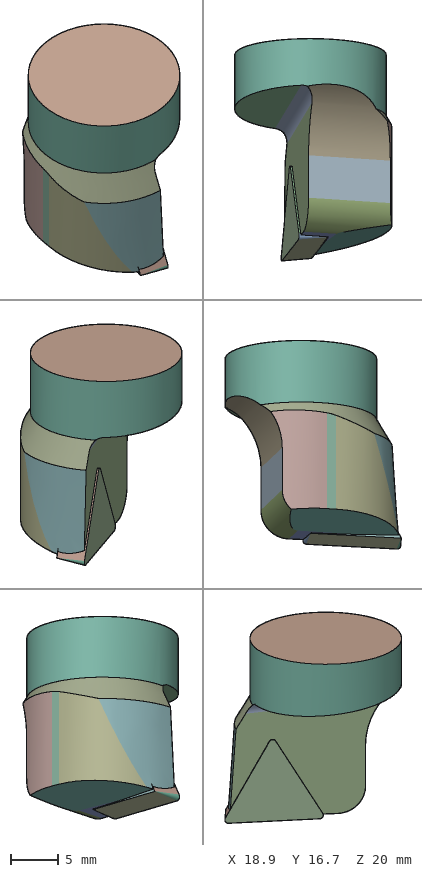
import cadquery as cq
import math

SHANK_RADIUS = 8.0
SHANK_LENGTH = 6.7
FLARE_DEPTH = 9.55
FLARE_ANGLE = 30.0
FLANK_ANGLE = 3.8
HEAD_DEPTH = 19.38

HEAD_SIDE_Y = -8.7
BACK_SIDE_X = 0.6
BACK_SIDE_RADIUS = 10.0
NOSE_SIDE_X = 1.6
NOSE_SIDE_RADIUS = 8.9

BACK_X = -4.0
BACK_TOP_DEPTH = 11.8
BACK_SWEEP_RADIUS = 8.0
HEEL_RADIUS = 3.0

RELIEF_ANGLE = 9.5
RELIEF_EDGE_DEPTH = 18.35

RAKE_ANGLE = 6.3
RAKE_OFFSET = 0.95
LEDGE_DEPTH = 5.7
LEDGE_ANGLE = 5.0
LEDGE_FILLET = 1.4

INSERT_INSCRIBED = 6.35
INSERT_THICKNESS = 3.2
INSERT_RELIEF = 7.0
INSERT_NOSE_RADIUS = 0.4
INSERT_HALF_CORNER = 30.0
INSERT_TURN = -1.0
INSERT_PROUD = 0.2
INSERT_REACH = 10.85
TOTAL_DEPTH = 20.0

CLEAR = 16.0

rake = math.radians(RAKE_ANGLE)
wall_normal = cq.Vector(math.sin(rake), math.cos(rake), 0)
wall_along = cq.Vector(math.cos(rake), -math.sin(rake), 0)


def make_envelope():
    """Shank, flare and tapered flank, turned about the Z axis."""
    flare_radius = SHANK_RADIUS + (FLARE_DEPTH - SHANK_LENGTH) * math.tan(math.radians(FLARE_ANGLE))
    bottom_radius = flare_radius + (HEAD_DEPTH - FLARE_DEPTH) * math.tan(math.radians(FLANK_ANGLE))
    return (
        cq.Workplane("XZ")
        .moveTo(0, 0)
        .lineTo(SHANK_RADIUS, 0)
        .lineTo(SHANK_RADIUS, -SHANK_LENGTH)
        .lineTo(flare_radius, -FLARE_DEPTH)
        .lineTo(bottom_radius, -HEAD_DEPTH)
        .lineTo(0, -HEAD_DEPTH)
        .close()
        .revolve(360, (0, 0, 0), (0, 1, 0))
    )


def make_head_limit():
    """Full shank above, head outline with two rounded sides below."""
    shank = cq.Workplane("XY").circle(SHANK_RADIUS).extrude(-SHANK_LENGTH)
    back_centre_y = HEAD_SIDE_Y + BACK_SIDE_RADIUS
    nose_centre_y = HEAD_SIDE_Y + NOSE_SIDE_RADIUS
    head = (
        cq.Workplane("XY", origin=(0, 0, -SHANK_LENGTH))
        .moveTo(BACK_SIDE_X - BACK_SIDE_RADIUS, back_centre_y)
        .radiusArc((BACK_SIDE_X, HEAD_SIDE_Y), -BACK_SIDE_RADIUS)
        .lineTo(NOSE_SIDE_X, HEAD_SIDE_Y)
        .radiusArc((NOSE_SIDE_X + NOSE_SIDE_RADIUS, nose_centre_y), -NOSE_SIDE_RADIUS)
        .lineTo(NOSE_SIDE_X + NOSE_SIDE_RADIUS, CLEAR)
        .lineTo(BACK_SIDE_X - BACK_SIDE_RADIUS, CLEAR)
        .close()
        .extrude(SHANK_LENGTH - HEAD_DEPTH)
    )
    return shank.union(head)


def make_side_limit():
    """Side outline with the swept back and the rounded heel."""
    sweep_x = BACK_X - BACK_SWEEP_RADIUS
    return (
        cq.Workplane("XZ", origin=(0, CLEAR, 0))
        .moveTo(sweep_x, 0)
        .lineTo(CLEAR, 0)
        .lineTo(CLEAR, -HEAD_DEPTH)
        .lineTo(BACK_X + HEEL_RADIUS, -HEAD_DEPTH)
        .radiusArc((BACK_X, HEEL_RADIUS - HEAD_DEPTH), HEEL_RADIUS)
        .lineTo(BACK_X, -BACK_TOP_DEPTH)
        .radiusArc((sweep_x, BACK_SWEEP_RADIUS - BACK_TOP_DEPTH), -BACK_SWEEP_RADIUS)
        .close()
        .extrude(2 * CLEAR)
    )


def make_relief_cutter():
    """Wedge below the sloping underside."""
    edge_y = HEAD_SIDE_Y
    rise = CLEAR * math.tan(math.radians(RELIEF_ANGLE))
    return (
        cq.Workplane("YZ", origin=(-CLEAR, 0, 0))
        .moveTo(edge_y - CLEAR, rise - RELIEF_EDGE_DEPTH)
        .lineTo(edge_y + CLEAR, -rise - RELIEF_EDGE_DEPTH)
        .lineTo(edge_y - CLEAR, -rise - RELIEF_EDGE_DEPTH)
        .close()
        .extrude(2 * CLEAR)
    )


def make_front_cutter():
    """Space in front of the wall and under the ledge, with a filleted inner corner."""
    ledge = math.radians(LEDGE_ANGLE)
    direction = wall_along * math.cos(ledge) + cq.Vector(0, 0, -math.sin(ledge))
    start = cq.Vector(0, 0, -LEDGE_DEPTH) + wall_normal * RAKE_OFFSET
    section = cq.Plane(origin=start.toTuple(), xDir=wall_normal.toTuple(), normal=direction.toTuple())
    return (
        cq.Workplane(section)
        .moveTo(CLEAR, 0)
        .lineTo(LEDGE_FILLET, 0)
        .radiusArc((0, -LEDGE_FILLET), -LEDGE_FILLET)
        .lineTo(0, -TOTAL_DEPTH)
        .lineTo(CLEAR, -TOTAL_DEPTH)
        .close()
        .extrude(CLEAR, both=True)
    )


def make_insert():
    """Triangular insert whose sides slope inwards away from its face."""
    nose_distance = INSERT_INSCRIBED - 2 * INSERT_NOSE_RADIUS
    nose_direction = math.radians(INSERT_TURN - INSERT_HALF_CORNER)
    centre_z = INSERT_NOSE_RADIUS - TOTAL_DEPTH - nose_distance * math.sin(nose_direction)
    face_offset = RAKE_OFFSET + INSERT_PROUD
    nose_along = (INSERT_REACH - face_offset * math.sin(rake)) / math.cos(rake) - INSERT_NOSE_RADIUS
    centre_along = nose_along - nose_distance * math.cos(nose_direction)
    centre = wall_normal * face_offset + wall_along * centre_along + cq.Vector(0, 0, centre_z)
    face = cq.Plane(origin=centre.toTuple(), xDir=wall_along.toTuple(), normal=(wall_normal * -1).toTuple())
    corners = [
        (
            INSERT_INSCRIBED * math.cos(nose_direction + turn),
            INSERT_INSCRIBED * math.sin(nose_direction + turn),
        )
        for turn in (0, 2 * math.pi / 3, 4 * math.pi / 3)
    ]
    outline = cq.Sketch().polygon([*corners, corners[0]]).vertices().fillet(INSERT_NOSE_RADIUS)
    return cq.Workplane(face).placeSketch(outline).extrude(INSERT_THICKNESS, taper=INSERT_RELIEF)


insert = make_insert()

holder = (
    make_envelope()
    .intersect(make_head_limit())
    .intersect(make_side_limit())
    .cut(make_relief_cutter())
    .cut(make_front_cutter())
    .cut(insert)
)

result = cq.Compound.makeCompound([holder.val(), insert.val()])